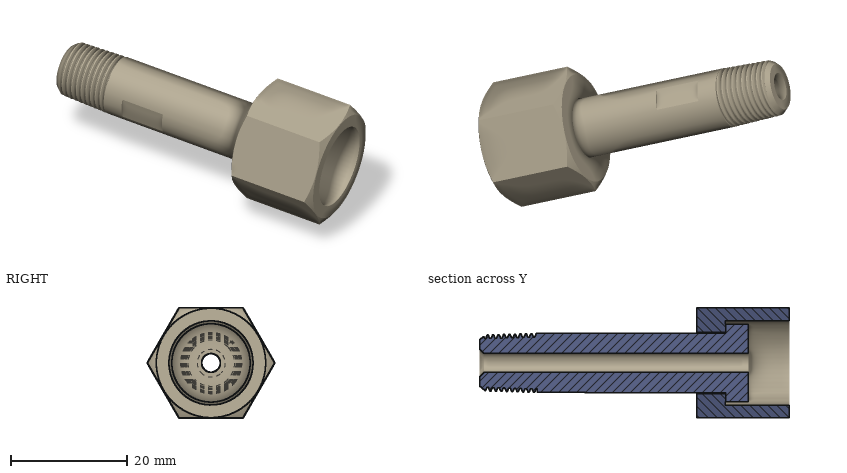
import cadquery as cq
import math

INCH = 25.4
total_length = 53.38

nut_across_flats = 0.75 * INCH
nut_across_corners = nut_across_flats / math.cos(math.radians(30))
nut_length = 16.03
nut_start = total_length - nut_length
nut_face_diameter = 18.85
nut_chamfer_angle = 30.0
nut_hole_diameter = 10.55
nut_wall = 5.0
nut_cavity_diameter = 14.5

shaft_diameter = 0.405 * INCH
shaft_radius = shaft_diameter / 2
bore_diameter = 0.125 * INCH
countersink_diameter = 4.8
head_diameter = 13.5
head_length = 4.0
head_start = nut_start + nut_wall
stem_length = head_start + head_length

flat_start = 13.4
flat_length = 7.94
flat_across = 0.375 * INCH

thread_length = 9.9
thread_pitch = INCH / 27
thread_depth = 0.62
crest_width = 0.2
root_width = 0.2
ridge_overlap = 0.15
radius_taper = 1 / 32
tip_diameter = 8.0
tip_chamfer_slope = 0.85
lead_ring_length = 0.75
lead_ring_back_length = 0.2

root_radius = shaft_radius - thread_depth


def root_radius_at(x):
    """Radius of the tapered thread root at a distance x from the tip."""
    return root_radius - radius_taper * (thread_length - x)


def revolve_about_x(outline):
    """Revolve a closed (x, radius) outline about the X axis."""
    return cq.Workplane("XY").polyline(outline).close().revolve(360, (0, 0, 0), (1, 0, 0))


def cylinder_along_x(diameter, start, length):
    return cq.Workplane("YZ").workplane(offset=start).circle(diameter / 2).extrude(length)


def tip_limit():
    """Chamfered blank that trims the thread at the tip and at the shaft."""
    limit_radius = shaft_radius + thread_depth
    tip_radius = tip_diameter / 2
    chamfer_length = (limit_radius - tip_radius) / tip_chamfer_slope
    return revolve_about_x([
        (0, 0),
        (0, tip_radius),
        (chamfer_length, limit_radius),
        (thread_length, limit_radius),
        (thread_length, 0),
    ])


def thread_core():
    """Tapered cone under the thread, at root size, with a chamfered lead ring at the tip."""
    tip_radius = tip_diameter / 2
    lead_ring_end = lead_ring_length + lead_ring_back_length
    return revolve_about_x([
        (0, 0),
        (0, tip_radius),
        (lead_ring_length, tip_radius + lead_ring_length * tip_chamfer_slope),
        (lead_ring_end, root_radius_at(lead_ring_end)),
        (thread_length, root_radius_at(thread_length)),
        (thread_length, 0),
    ])


def thread_ridge():
    """Trapezoidal ridge on a tapered helix, one pitch longer than the thread at each end."""
    start = -thread_pitch
    start_radius = root_radius_at(start)
    taper_angle = math.degrees(math.atan(radius_taper))
    helix_length = thread_length + 2 * thread_pitch
    helix = cq.Wire.makeHelix(thread_pitch, helix_length, start_radius, angle=taper_angle)
    root_half = (thread_pitch - root_width) / 2
    crest_half = crest_width / 2
    flank_slope = (root_half - crest_half) / thread_depth
    base_half = root_half + ridge_overlap * flank_slope
    profile = cq.Workplane("XZ").polyline([
        (start_radius - ridge_overlap, -base_half),
        (start_radius + thread_depth, -crest_half),
        (start_radius + thread_depth, crest_half),
        (start_radius - ridge_overlap, base_half),
    ]).close()
    ridge = profile.sweep(cq.Workplane(obj=helix), isFrenet=True)
    return ridge.rotate((0, 0, 0), (0, 1, 0), 90).translate((start, 0, 0))


def make_stem():
    """Threaded tube with two wrench flats; its head seats on the wall inside the nut."""
    limit = tip_limit()
    thread = thread_core().union(thread_ridge().intersect(limit))
    stem = cylinder_along_x(shaft_diameter, thread_length, stem_length - thread_length).union(thread)
    stem = stem.union(cylinder_along_x(head_diameter, head_start, head_length))

    for side in (-1, 1):
        cutter = cq.Workplane("XY").box(flat_length, shaft_diameter, shaft_diameter)
        flat_middle = flat_start + flat_length / 2
        stem = stem.cut(cutter.translate((flat_middle, side * (flat_across + shaft_diameter) / 2, 0)))

    stem = stem.cut(cylinder_along_x(bore_diameter, 0, stem_length))
    countersink = revolve_about_x([(0, 0), (0, countersink_diameter / 2), (countersink_diameter / 2, 0)])
    return stem.cut(countersink)


def make_nut():
    """Hexagon with two flats facing +Z and -Z, chamfered at both ends, with a cavity for the stem head."""
    hexagon_plane = cq.Workplane("YZ").workplane(offset=nut_start)
    hexagon = hexagon_plane.polygon(6, nut_across_corners).extrude(nut_length)
    face_radius = nut_face_diameter / 2
    outer_radius = nut_across_corners
    chamfer_length = (outer_radius - face_radius) * math.tan(math.radians(nut_chamfer_angle))
    chamfered_blank = revolve_about_x([
        (nut_start, 0),
        (nut_start, face_radius),
        (nut_start + chamfer_length, outer_radius),
        (total_length - chamfer_length, outer_radius),
        (total_length, face_radius),
        (total_length, 0),
    ])
    nut = hexagon.intersect(chamfered_blank)
    nut = nut.cut(cylinder_along_x(nut_hole_diameter, nut_start, nut_length))
    return nut.cut(cylinder_along_x(nut_cavity_diameter, head_start, total_length - head_start))


stem = make_stem()
nut = make_nut()

result = cq.Compound.makeCompound([stem.val(), nut.val()])